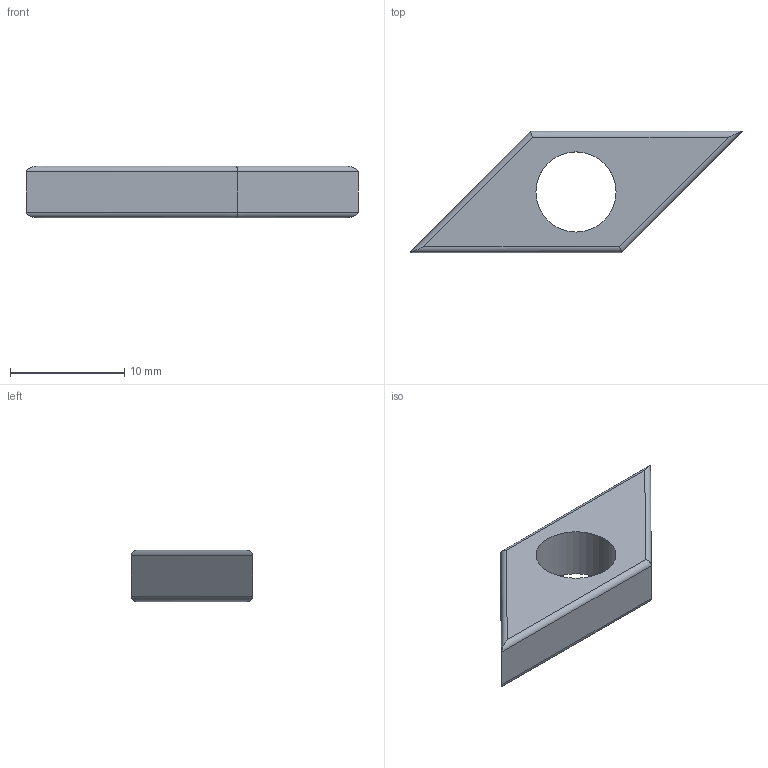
import cadquery as cq

LENGTH = 29.0
WIDTH = 10.6
THICKNESS = 4.5
SIDE_LENGTH = 18.5
HOLE_DIAMETER = 7.0
EDGE_RADIUS = 0.5

SLANT_RUN = LENGTH - SIDE_LENGTH
HALF_LENGTH = LENGTH / 2
HALF_WIDTH = WIDTH / 2


def parallelogram_plate():
    """Flat plate centred on the origin, with its sharp tips at -X-Y and +X+Y."""
    corners = [
        (-HALF_LENGTH, -HALF_WIDTH),
        (HALF_LENGTH - SLANT_RUN, -HALF_WIDTH),
        (HALF_LENGTH, HALF_WIDTH),
        (-HALF_LENGTH + SLANT_RUN, HALF_WIDTH),
    ]
    return cq.Workplane("XY").polyline(corners).close().extrude(THICKNESS / 2, both=True)


def round_flat_face_edges(plate):
    """Round the outlines of the top and bottom faces, leaving the upright corners sharp."""
    return plate.faces("|Z").edges().fillet(EDGE_RADIUS)


def drill_centre_hole(plate):
    """Plain through hole in the middle of the plate."""
    return plate.faces(">Z").workplane(origin=(0, 0, 0)).hole(HOLE_DIAMETER)


result = drill_centre_hole(round_flat_face_edges(parallelogram_plate()))